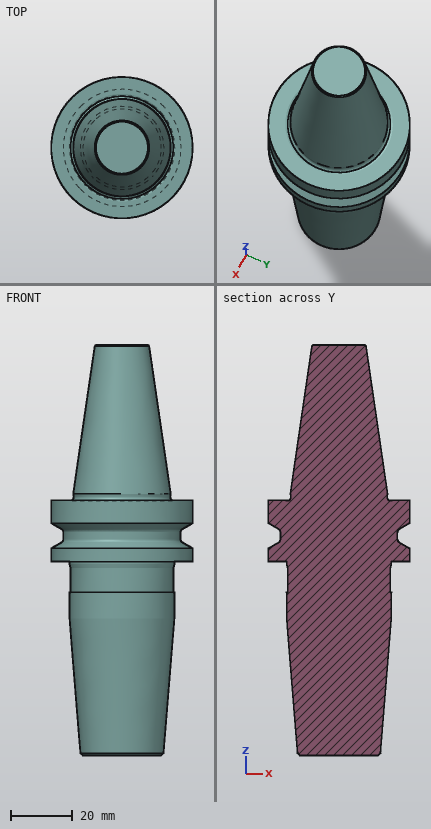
import math

import cadquery as cq

total_length = 133.4

gauge_radius = 15.9
taper_end = 48.4
taper_ratio = 7 / 24
shank_chamfer = 0.4
small_end_radius = gauge_radius - taper_end * taper_ratio / 2

undercut_depth = 0.1
undercut_face_depth = 0.2
undercut_arc_start = 49.2
undercut_arc_end_radius = 16.7
undercut_outer_radius = 17.5

flange_radius = 23.01
flange_top = 50.4
flange_bottom = 70.5
groove_radius = 19.1
groove_middle = 62.0
groove_width = 8.1
groove_half_angle = math.radians(30)
groove_fillet = 1.0
groove_mouth_top = groove_middle - groove_width / 2
groove_mouth_bottom = groove_middle + groove_width / 2
groove_wall_run = (flange_radius - groove_radius) * math.tan(groove_half_angle)

neck_radius = 16.8
collar_radius = 17.1
collar_end = 71.2
ramp_end = 72.5
neck_end = 80.5

band_radius = 17.1
band_end = 88.8
nose_end_radius = 13.5
nose_chamfer = 0.8


def height(depth):
    """Z of a place lying the given depth below the small end."""
    return total_length / 2 - depth


def point(radius, depth):
    return (radius, height(depth))


def make_body():
    """Revolve the half outline about the Z axis."""
    arc_start_radius = gauge_radius - undercut_depth
    arc_end_depth = flange_top + undercut_face_depth
    diagonal = math.sqrt(0.5)
    arc_middle = point(
        undercut_arc_end_radius - (undercut_arc_end_radius - arc_start_radius) * diagonal,
        undercut_arc_start + (arc_end_depth - undercut_arc_start) * diagonal,
    )
    outline = (
        cq.Workplane("XZ")
        .moveTo(*point(0, 0))
        .lineTo(*point(small_end_radius - shank_chamfer, 0))
        .lineTo(*point(small_end_radius + shank_chamfer * taper_ratio / 2, shank_chamfer))
        .lineTo(*point(gauge_radius, taper_end))
        .lineTo(*point(arc_start_radius, undercut_arc_start))
        .threePointArc(arc_middle, point(undercut_arc_end_radius, arc_end_depth))
        .lineTo(*point(undercut_outer_radius, flange_top))
        .lineTo(*point(flange_radius, flange_top))
        .lineTo(*point(flange_radius, groove_mouth_top))
        .lineTo(*point(groove_radius, groove_mouth_top + groove_wall_run))
        .lineTo(*point(groove_radius, groove_mouth_bottom - groove_wall_run))
        .lineTo(*point(flange_radius, groove_mouth_bottom))
        .lineTo(*point(flange_radius, flange_bottom))
        .lineTo(*point(collar_radius, flange_bottom))
        .lineTo(*point(collar_radius, collar_end))
        .lineTo(*point(neck_radius, ramp_end))
        .lineTo(*point(neck_radius, neck_end))
        .lineTo(*point(band_radius, neck_end))
        .lineTo(*point(band_radius, band_end))
        .lineTo(*point(nose_end_radius, total_length))
        .lineTo(*point(0, total_length))
        .close()
    )
    return outline.revolve(360, (0, 0), (0, 1))


def round_groove_floor(body):
    """Fillet the two circular corners at the bottom of the V groove."""
    floor_corners = cq.selectors.BoxSelector(
        (-groove_radius, -groove_radius, height(groove_mouth_bottom - groove_wall_run / 2)),
        (groove_radius, groove_radius, height(groove_mouth_top + groove_wall_run / 2)),
    )
    return body.edges(floor_corners).edges("%CIRCLE").fillet(groove_fillet)


body = round_groove_floor(make_body())
result = body.faces("<Z").edges().chamfer(nose_chamfer)